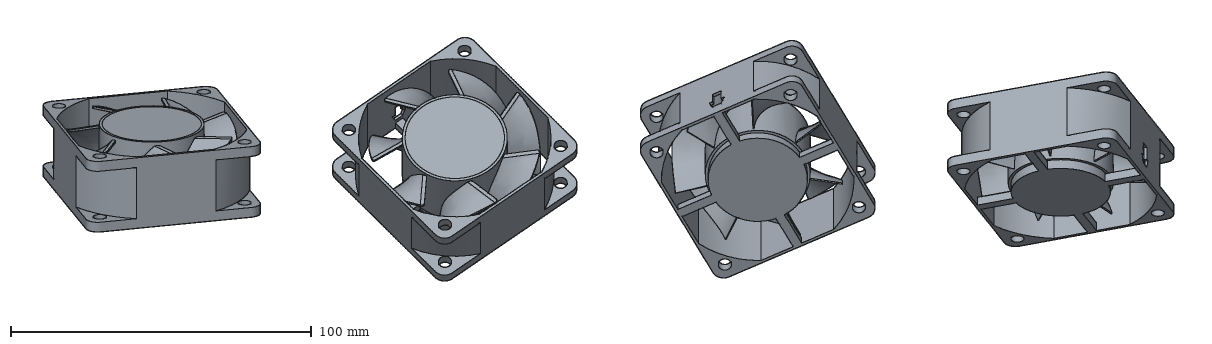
import cadquery as cq
import math


frame_side = 60.0
frame_height = 25.0
flange_thickness = 3.5
corner_radius = 4.0
wall = 1.0
bore_radius = 32.0
inner_side = frame_side - 2 * wall
barrel_radius = bore_radius + wall
screw_hole_diameter = 4.4
screw_hole_pitch = 50.0

core_radius = 16.5
arm_width = 3.2
arm_thickness = 3.0
arm_length = frame_side / 2 - wall / 2

cable_slot_width = arm_width
cable_slot_top = 12.0
cable_step_width = 5.5
cable_step_top = 7.5
cable_opening_bottom = 4.5

sleeve_radius = 17.45
sleeve_clearance = 0.3
sleeve_bottom = arm_thickness + sleeve_clearance
blade_tip_radius = 28.55
blade_count = 7
first_blade_angle = -72.0
blade_root_radius = (core_radius + sleeve_radius) / 2
nose_height = 23.9
nose_thickness = 0.6
nose_land_width = 1.75
nose_land_drop = 0.25
nose_overrun = 0.3
middle_thickness = 0.95
tail_height = 4.3
tail_thickness = 0.5
tip_corner_radius = 0.7

root_section = (14.4, 1.55, -5.45, 2.05)
tip_section = (29.4, 14.7, -10.85, 4.3)


def plate(thickness, bottom):
    """Square flange with rounded corners."""
    return (
        cq.Workplane("XY", origin=(0, 0, bottom))
        .rect(frame_side, frame_side)
        .extrude(thickness)
        .edges("|Z")
        .fillet(corner_radius)
    )


def clipped_cylinder(side, radius):
    """Full-height cylinder cut by the four sides of a square."""
    square = cq.Workplane("XY").rect(side, side).extrude(frame_height)
    return square.intersect(cq.Workplane("XY").circle(radius).extrude(frame_height))


def cable_opening():
    """Cutter for the cable opening through the +Y wall."""
    profile = [
        (cable_slot_width / 2, cable_opening_bottom),
        (cable_step_width / 2, cable_step_top),
        (cable_slot_width / 2, cable_step_top),
        (cable_slot_width / 2, cable_slot_top),
    ]
    mirrored = [(-x, z) for x, z in reversed(profile)]
    return (
        cq.Workplane("XZ", origin=(0, frame_side / 2, 0))
        .polyline(profile + mirrored)
        .close()
        .extrude(2 * wall)
    )


def make_frame():
    """Housing, arms and motor core as one solid."""
    housing = (
        clipped_cylinder(frame_side, barrel_radius)
        .union(plate(flange_thickness, 0))
        .union(plate(flange_thickness, frame_height - flange_thickness))
        .cut(clipped_cylinder(inner_side, bore_radius))
    )
    screw_holes = (
        cq.Workplane("XY")
        .rect(screw_hole_pitch, screw_hole_pitch, forConstruction=True)
        .vertices()
        .circle(screw_hole_diameter / 2)
        .extrude(frame_height)
    )
    arms = (
        cq.Workplane("XY")
        .rect(2 * arm_length, arm_width)
        .extrude(arm_thickness)
        .union(cq.Workplane("XY").rect(arm_width, 2 * arm_length).extrude(arm_thickness))
    )
    core = cq.Workplane("XY").circle(core_radius).extrude(frame_height)
    return housing.cut(screw_holes).cut(cable_opening()).union(arms).union(core)


def blade_section(distance, nose, tail, camber):
    """Closed wire of a cambered blade section that thins to its tail and has a flat land behind its nose."""
    chord_side = nose + nose_overrun - tail
    chord_rise = nose_height - tail_height
    chord = math.hypot(chord_side, chord_rise)
    along = (chord_side / chord, chord_rise / chord)
    up = (-along[1], along[0])

    def point(position, offset):
        side = tail + position * along[0] + offset * up[0]
        height = tail_height + position * along[1] + offset * up[1]
        return cq.Vector(distance, side, height)

    upper_tail = point(0, tail_thickness)
    upper_middle = point(chord / 2, camber + middle_thickness)
    nose_top = cq.Vector(distance, nose + nose_overrun, nose_height)
    land_start = nose_top - cq.Vector(0, nose_land_width + nose_overrun, nose_land_drop)
    lower_nose = nose_top - cq.Vector(0, 0, nose_thickness)
    lower_middle = point(chord / 2, camber)
    lower_tail = point(0, 0)
    return cq.Wire.assembleEdges(
        [
            cq.Edge.makeThreePointArc(upper_tail, upper_middle, land_start),
            cq.Edge.makeLine(land_start, nose_top),
            cq.Edge.makeLine(nose_top, lower_nose),
            cq.Edge.makeThreePointArc(lower_nose, lower_middle, lower_tail),
            cq.Edge.makeLine(lower_tail, upper_tail),
        ]
    )


def blade_envelope():
    """Upright block that trims a blade to its nose line and its round-cornered tip."""
    root_distance, root_nose = root_section[:2]
    tip_distance, tip_nose = tip_section[:2]
    sector = (
        cq.Workplane("XY")
        .polyline(
            [
                (root_distance, -blade_tip_radius),
                (tip_distance, -blade_tip_radius),
                (tip_distance, tip_nose),
                (root_distance, root_nose),
            ]
        )
        .close()
        .extrude(frame_height)
    )
    disc = cq.Workplane("XY").circle(blade_tip_radius).extrude(frame_height)
    root_bore = cq.Workplane("XY").circle(blade_root_radius).extrude(frame_height)
    return sector.intersect(disc).edges("|Z").edges(">Y").fillet(tip_corner_radius).cut(root_bore)


def make_blade():
    """One blade along +X, reaching from inside the sleeve's wall to the tip radius."""
    sections = [blade_section(*root_section), blade_section(*tip_section)]
    blade = cq.Workplane(obj=cq.Solid.makeLoft(sections, True))
    return blade.intersect(blade_envelope())


def make_rotor():
    """Sleeve around the motor core with its ring of blades."""
    rotor = (
        cq.Workplane("XY", origin=(0, 0, sleeve_bottom))
        .circle(sleeve_radius)
        .circle(core_radius)
        .extrude(frame_height - sleeve_bottom)
    )
    blade = make_blade()
    for index in range(blade_count):
        angle = first_blade_angle + index * 360 / blade_count
        rotor = rotor.union(blade.rotate((0, 0, 0), (0, 0, 1), angle))
    return rotor


frame = make_frame()
rotor = make_rotor()

result = cq.Compound.makeCompound([frame.val(), rotor.val()])